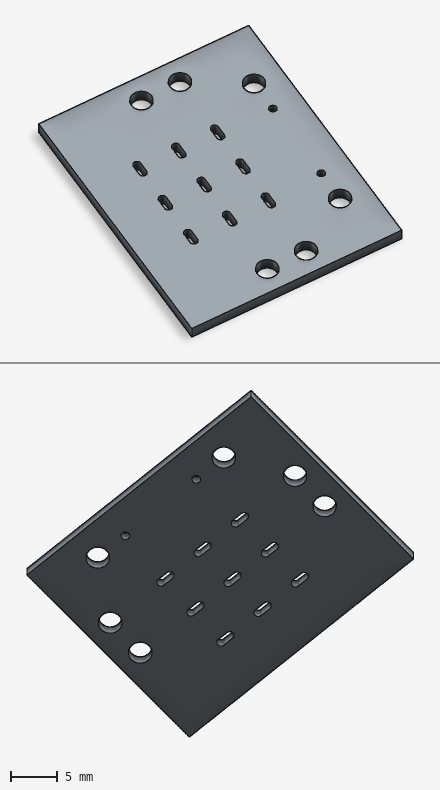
import cadquery as cq

plate_length = 32.0
plate_width = 26.0
plate_thickness = 1.5

large_diameter = 2.5
top_hole_x = 9.0
top_hole_y = 9.5
side_hole_x = 13.2
upper_side_y = 2.8
lower_side_y = -2.0
lower_left_x = -13.12
large_centers = [
    (-top_hole_x, top_hole_y),
    (top_hole_x, top_hole_y),
    (-side_hole_x, upper_side_y),
    (side_hole_x, upper_side_y),
    (lower_left_x, lower_side_y),
    (side_hole_x, lower_side_y),
]

small_diameter = 0.9
small_hole_x = 5.05
small_centers = [(-small_hole_x, top_hole_y), (small_hole_x, top_hole_y)]

slot_length = 2.15
slot_width = 0.9
slot_columns = 3
slot_rows = 3
slot_pitch_x = 5.3
slot_pitch_y = 4.8
slot_grid_y = lower_side_y


def through_holes(centers, diameter):
    return cq.Workplane("XY").pushPoints(centers).circle(diameter / 2).extrude(plate_thickness)


def through_slots():
    return (
        cq.Workplane("XY")
        .center(0, slot_grid_y)
        .rarray(slot_pitch_x, slot_pitch_y, slot_columns, slot_rows)
        .slot2D(slot_length, slot_width)
        .extrude(plate_thickness)
    )


plate = cq.Workplane("XY").box(plate_length, plate_width, plate_thickness, centered=(True, True, False))
result = (
    plate.cut(through_holes(large_centers, large_diameter))
    .cut(through_holes(small_centers, small_diameter))
    .cut(through_slots())
)